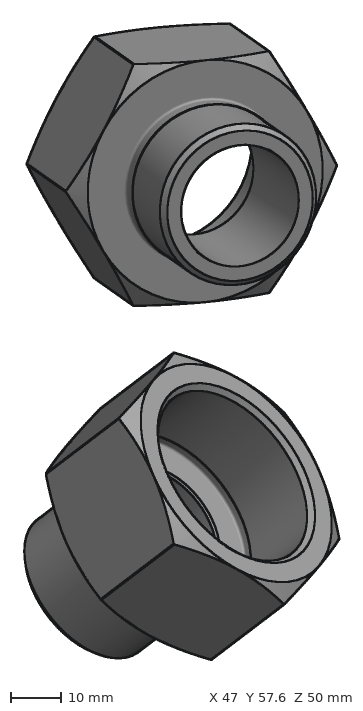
import cadquery as cq
import math

total_length = 47.0
nut_length = 27.0
across_corners = 57.65
corner_land_width = 0.17
corner_land_half_angle = corner_land_width / across_corners
across_flats = across_corners * math.cos(math.radians(30) - corner_land_half_angle)
nut_chamfer_angle = 30.0

collar_diameter = 33.45
collar_end = 30.2
collar_root_fillet = 0.5
pipe_diameter = 33.25
pipe_end_chamfer = 1.15

mouth_diameter = 41.2
bore_diameter = 38.95
bore_end = 18.55
relief_diameter = 39.15
seat_depth = 20.4
seat_corner_fillet = 0.5

hole_diameter = 25.0
hole_entry_diameter = 26.0
hole_entry_angle = 45.0


def revolve_profile(profile):
    """Turn a closed (x, radius) profile in the XY plane around the X axis."""
    return profile.close().revolve(360, (0, 0, 0), (1, 0, 0))


def hexagon_nut():
    """Hexagon bar with flats facing +Z and -Z, its corners turned and chamfered at both ends."""
    sharp_corners = across_flats / math.cos(math.radians(30))
    bar = cq.Workplane("YZ").polygon(6, sharp_corners).extrude(nut_length)

    face_radius = across_flats / 2
    corner_radius = across_corners / 2
    chamfer_length = (corner_radius - face_radius) * math.tan(math.radians(nut_chamfer_angle))
    envelope = revolve_profile(
        cq.Workplane("XY")
        .moveTo(0, 0)
        .lineTo(0, face_radius)
        .lineTo(chamfer_length, corner_radius)
        .lineTo(nut_length - chamfer_length, corner_radius)
        .lineTo(nut_length, face_radius)
        .lineTo(nut_length, 0)
    )
    return bar.intersect(envelope)


def tailpiece():
    """Collar with a concave root fillet at the nut, then the plain pipe with a chamfered end."""
    collar_radius = collar_diameter / 2
    pipe_radius = pipe_diameter / 2
    root_radius = collar_radius + collar_root_fillet
    return revolve_profile(
        cq.Workplane("XY")
        .moveTo(seat_depth, 0)
        .lineTo(seat_depth, root_radius)
        .lineTo(nut_length, root_radius)
        .radiusArc((nut_length + collar_root_fillet, collar_radius), -collar_root_fillet)
        .lineTo(collar_end, collar_radius)
        .lineTo(collar_end, pipe_radius)
        .lineTo(total_length - pipe_end_chamfer, pipe_radius)
        .lineTo(total_length, pipe_radius - pipe_end_chamfer)
        .lineTo(total_length, 0)
    )


def bore():
    """Chamfered mouth, bore, shallow relief with a rounded seat corner, and the through hole."""
    mouth_radius = mouth_diameter / 2
    bore_radius = bore_diameter / 2
    relief_radius = relief_diameter / 2
    entry_radius = hole_entry_diameter / 2
    hole_radius = hole_diameter / 2
    mouth_length = mouth_radius - bore_radius
    entry_length = (entry_radius - hole_radius) / math.tan(math.radians(hole_entry_angle))
    return revolve_profile(
        cq.Workplane("XY")
        .moveTo(0, 0)
        .lineTo(0, mouth_radius)
        .lineTo(mouth_length, bore_radius)
        .lineTo(bore_end, bore_radius)
        .lineTo(bore_end, relief_radius)
        .lineTo(seat_depth - seat_corner_fillet, relief_radius)
        .radiusArc((seat_depth, relief_radius - seat_corner_fillet), seat_corner_fillet)
        .lineTo(seat_depth, entry_radius)
        .lineTo(seat_depth + entry_length, hole_radius)
        .lineTo(total_length, hole_radius)
        .lineTo(total_length, 0)
    )


result = hexagon_nut().union(tailpiece()).cut(bore())